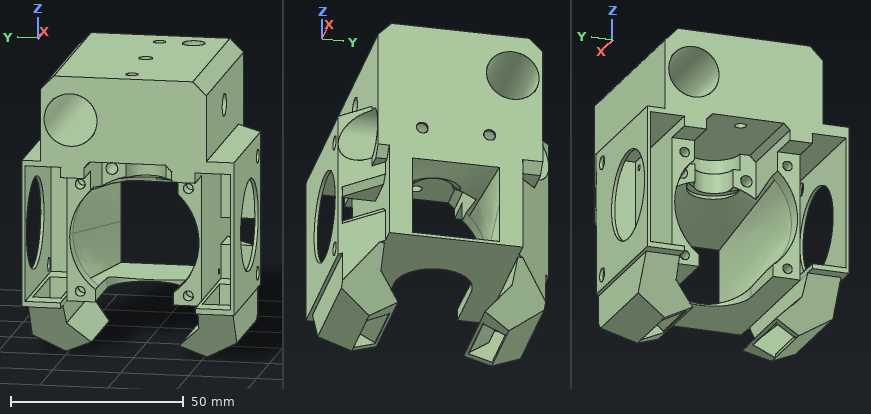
import cadquery as cq


length = 58.0
height = 84.7
half_width = 31.3
wall = 1.0

body_front = -23.1
body_back = 25.75
body_bottom = 41.6
body_chamfer = 4.0
rear_bottom_chamfer = 3.0

floor_z = 15.85
floor_thickness = 1.6
front_box_top = 61.2
back_box_top = 59.3
box_inner_top = 57.7
box_inner_length = 40.0
slant_start = 41.8
fan_hole_diameter = 27.0
front_fan_hole_x = 24.2
back_fan_hole_x = box_inner_length - front_fan_hole_x
fan_hole_z = 37.4
fan_screw_x = 37.0
fan_screw_z = (20.2, 54.9)
fan_screw_diameter = 4.0
pilot_diameter = 1.5
pilot_depth = 5.0

window_bottom = 27.6
window_top = 35.6
window_flare = 2.0
window_flare_depth = 2.6

duct_half_width = 19.8
slant_end = slant_start + half_width - duct_half_width
duct_start = 10.0
duct_top = 54.65
duct_bore_diameter = 38.0
duct_bore_z = 34.7
duct_bore_length = 5.0
outlet_half_width = 12.9
outlet_top = 41.2
outlet_bottom = floor_z + wall
nozzle_slot_diameter = 22.9
duct_screw_spacing = 31.85
duct_screw_diameter = 2.9
duct_screw_depth = 5.0

nozzle_x = 27.95
mount_top = 59.65
mount_chamfer = 1.9
collar_diameter = 16.0
neck_diameter = 11.8
neck_bottom = 48.6
clamp_hole_y = 10.0
clamp_hole_z = 51.5
clamp_hole_diameter = 3.5

rod_diameter = 15.6
long_rod_y = 16.9
long_rod_z = 71.85
cross_rod_x = 49.6
cross_rod_z = 52.0
screw_diameter = 3.5
screw_head_diameter = 6.5
screw_seat = 5.9
top_screw_y = -10.0

top_hole_diameter = 3.5
top_hole_offset = 21.6
filament_hole_diameter = 4.0

jaw_outer_y = 30.2
jaw_knee_z = 5.25
jaw_tip_y = 20.75
jaw_lip_y = 12.9
jaw_lip_z = 3.6
jaw_inner_knee_y = 19.5
jaw_inner_knee_z = 9.8
jaw_start_top = 3.8
jaw_start_bottom = 13.6
jaw_end_bottom = 35.9
air_slot_start = 6.1
air_slot_end = 32.8


def box(x0, x1, y0, y1, z0, z1):
    """Box between two opposite corners."""
    return cq.Workplane("XY").box(x1 - x0, y1 - y0, z1 - z0, centered=False).translate((x0, y0, z0))


def rod_x(x0, x1, y, z, diameter):
    """Cylinder along X."""
    return cq.Workplane("YZ", origin=(x0, y, z)).circle(diameter / 2).extrude(x1 - x0)


def rod_y(y0, y1, x, z, diameter):
    """Cylinder along Y."""
    return cq.Workplane("XZ", origin=(x, y0, z)).circle(diameter / 2).extrude(y0 - y1)


def rod_z(z0, z1, x, y, diameter):
    """Cylinder along Z."""
    return cq.Workplane("XY", origin=(x, y, z0)).circle(diameter / 2).extrude(z1 - z0)


def mirrored(shape):
    """Copy of a shape on the other side of the Y = 0 plane."""
    return shape.mirror("XZ")


def upper_body():
    """Chamfered block that carries both rod bores."""
    block = box(0, length, body_front, body_back, body_bottom, height)
    block = block.faces(">Z").edges("|X").chamfer(body_chamfer)
    return block.faces(">X").edges("<Z").chamfer(rear_bottom_chamfer)


def fan_box(top):
    """Solid front-side box with a 45 degree slanted end."""
    outline = [
        (0, -duct_half_width),
        (0, -half_width),
        (slant_start, -half_width),
        (slant_end, -duct_half_width),
    ]
    return cq.Workplane("XY", origin=(0, 0, floor_z)).polyline(outline).close().extrude(top - floor_z)


def jaw():
    """Front-side hooked jaw with sloped ends, cut to the slant of the box above it."""
    profile = [
        (-jaw_outer_y, floor_z),
        (-jaw_outer_y, jaw_knee_z),
        (-jaw_tip_y, 0),
        (-jaw_lip_y, jaw_lip_z),
        (-jaw_inner_knee_y, jaw_inner_knee_z),
        (-duct_half_width, floor_z),
    ]
    side_outline = [
        (jaw_start_top, floor_z),
        (jaw_start_bottom, 0),
        (jaw_end_bottom, 0),
        (jaw_end_bottom + floor_z, floor_z),
    ]
    plan_outline = [(0, 0), (0, -half_width), (slant_start, -half_width), (slant_start + half_width, 0)]
    bar = cq.Workplane("YZ").polyline(profile).close().extrude(length)
    side = cq.Workplane("XZ").polyline(side_outline).close().extrude(half_width)
    plan = cq.Workplane("XY").polyline(plan_outline).close().extrude(floor_z)
    return bar.intersect(side).intersect(plan)


def air_passage():
    """Passage from the front box floor to the inward-facing lower face of the jaw."""
    outer_y = jaw_outer_y - wall
    inner_y = duct_half_width + wall
    top = floor_z + floor_thickness
    profile = [
        (-outer_y, top),
        (-outer_y, jaw_knee_z + wall),
        (-jaw_tip_y, wall),
        (-jaw_tip_y, 0),
        (-jaw_lip_y - wall, 0),
        (-jaw_lip_y - wall, jaw_lip_z),
        (-inner_y, jaw_inner_knee_z),
        (-inner_y, top),
    ]
    side_outline = [
        (air_slot_start, top),
        (air_slot_start, floor_z),
        (air_slot_start + jaw_start_bottom - jaw_start_top, 0),
        (air_slot_end, 0),
        (air_slot_end, top),
    ]
    bar = cq.Workplane("YZ").polyline(profile).close().extrude(length)
    side = cq.Workplane("XZ").polyline(side_outline).close().extrude(half_width)
    return bar.intersect(side)


def fan_box_cuts(fan_hole_x):
    """Interior, fan opening, screw holes and air passage of a front-side box."""
    inner_y = -half_width + wall
    cuts = box(0, box_inner_length, inner_y, -duct_half_width, floor_z + floor_thickness, box_inner_top)
    cuts = cuts.union(rod_y(-half_width, inner_y, fan_hole_x, fan_hole_z, fan_hole_diameter))
    for z in fan_screw_z:
        cuts = cuts.union(rod_y(-half_width, inner_y, fan_screw_x, z, fan_screw_diameter))
        pilot_end = -duct_half_width + pilot_depth
        cuts = cuts.union(rod_y(-duct_half_width, pilot_end, fan_screw_x, z, pilot_diameter))
    return cuts.union(air_passage())


def cable_window():
    """Straight window through the end of the front box, flared where it leaves the slanted face."""
    outer_y = -half_width + wall
    inner_y = -duct_half_width
    window = box(box_inner_length, slant_end, outer_y, inner_y, window_bottom, window_top)
    flare_start = slant_end - window_flare_depth
    flare_outline = [
        (flare_start, window_bottom),
        (slant_end, window_bottom - window_flare),
        (slant_end, window_top + window_flare),
        (flare_start, window_top),
    ]
    shift = inner_y - outer_y
    shifted_outline = [(x - shift, z) for x, z in flare_outline]
    flare = (
        cq.Workplane("XZ", origin=(0, inner_y, 0))
        .polyline(flare_outline).close()
        .workplane(offset=shift)
        .polyline(shifted_outline).close()
        .loft(ruled=True)
    )
    return window.union(flare)


def duct_cuts():
    """Fan recess, round inlet blending into a rectangular outlet, nozzle slot and fan screw holes."""
    blend_start = duct_start + duct_bore_length
    cuts = box(0, duct_start, -duct_half_width, duct_half_width, floor_z, duct_top)
    cuts = cuts.union(rod_x(duct_start, blend_start, 0, duct_bore_z, duct_bore_diameter))
    outlet_height = outlet_top - outlet_bottom
    outlet_middle = (outlet_top + outlet_bottom) / 2
    blend = (
        cq.Workplane("YZ", origin=(blend_start, 0, duct_bore_z))
        .circle(duct_bore_diameter / 2)
        .workplane(offset=length - blend_start)
        .center(0, outlet_middle - duct_bore_z)
        .rect(2 * outlet_half_width, outlet_height)
        .loft(ruled=True)
    )
    cuts = cuts.union(blend)
    slot_radius = nozzle_slot_diameter / 2
    cuts = cuts.union(box(0, nozzle_x, -slot_radius, slot_radius, floor_z, duct_bore_z))
    cuts = cuts.union(rod_z(floor_z, duct_bore_z, nozzle_x, 0, nozzle_slot_diameter))
    for y in (-duct_screw_spacing / 2, duct_screw_spacing / 2):
        for z in (duct_bore_z - duct_screw_spacing / 2, duct_bore_z + duct_screw_spacing / 2):
            cuts = cuts.union(rod_x(duct_start, duct_start + duct_screw_depth, y, z, duct_screw_diameter))
    return cuts


def nozzle_mount_cuts():
    """Open space in front of the nozzle, its stepped half-round seat and the clamp holes."""
    space = box(0, nozzle_x, -outlet_half_width, outlet_half_width, duct_bore_z, mount_top)
    space = space.faces(">Z").edges("|X").chamfer(mount_chamfer)
    cuts = space.union(rod_z(duct_top, mount_top, nozzle_x, 0, collar_diameter))
    cuts = cuts.union(rod_z(neck_bottom, duct_top, nozzle_x, 0, neck_diameter))
    cuts = cuts.union(rod_z(duct_bore_z, neck_bottom, nozzle_x, 0, collar_diameter))
    for y in (-clamp_hole_y, clamp_hole_y):
        cuts = cuts.union(rod_x(nozzle_x, length, y, clamp_hole_z, clamp_hole_diameter))
    return cuts


def rod_cuts():
    """Two crossing rod bores, each with a counterbored set screw hole."""
    cuts = rod_x(0, length, long_rod_y, long_rod_z, rod_diameter)
    cuts = cuts.union(rod_y(-half_width, half_width, cross_rod_x, cross_rod_z, rod_diameter))
    cuts = cuts.union(rod_y(body_front, long_rod_y, nozzle_x, long_rod_z, screw_diameter))
    head_end = long_rod_y - rod_diameter / 2 - screw_seat
    cuts = cuts.union(rod_y(body_front, head_end, nozzle_x, long_rod_z, screw_head_diameter))
    cuts = cuts.union(rod_z(cross_rod_z, height, cross_rod_x, top_screw_y, screw_diameter))
    head_bottom = cross_rod_z + rod_diameter / 2 + screw_seat
    return cuts.union(rod_z(head_bottom, height, cross_rod_x, top_screw_y, screw_head_diameter))


def top_hole_cuts():
    """Three holes in the top face: into the nozzle space, the set screw hole and the cross rod bore."""
    cuts = rod_z(long_rod_z, height, nozzle_x, 0, filament_hole_diameter)
    cuts = cuts.union(rod_z(mount_top, height, nozzle_x - top_hole_offset, 0, top_hole_diameter))
    return cuts.union(rod_z(cross_rod_z, height, nozzle_x + top_hole_offset, 0, top_hole_diameter))


central_duct = box(duct_start, length, -duct_half_width, duct_half_width, floor_z, duct_top)

result = upper_body().union(central_duct)
result = result.union(fan_box(front_box_top)).union(mirrored(fan_box(back_box_top)))
result = result.union(jaw()).union(mirrored(jaw()))
result = result.cut(fan_box_cuts(front_fan_hole_x))
result = result.cut(mirrored(fan_box_cuts(back_fan_hole_x)))
result = result.cut(cable_window())
result = result.cut(duct_cuts())
result = result.cut(nozzle_mount_cuts())
result = result.cut(rod_cuts())
result = result.cut(top_hole_cuts())